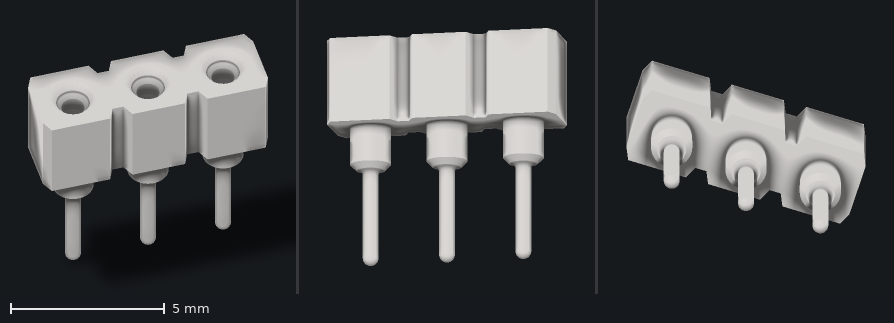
import cadquery as cq

contact_count = 3
length = 7.62
pitch = length / contact_count
width = pitch
housing_height = 2.79
neck_width = 1.72
neck_length = 0.38
bevel_length = 0.19

total_height = 7.37
shoulder_radius = 0.67
shoulder_length = 1.21
shoulder_bevel_height = 0.2
tail_radius = 0.26
tail_fillet = 0.16

mouth_radius = 0.78
bore_radius = 0.55
bore_depth = 0.31
contact_rim_radius = 0.49
contact_radius = 0.38
contact_lead_depth = 0.45
contact_depth = 0.915
contact_tip_radius = 0.11
contact_tip_depth = 2.44
socket_depth = contact_tip_depth + contact_tip_radius


def make_notch(side, y):
    """Full-height trapezoid that narrows the housing to its neck width on one side."""
    outer_x = side * width / 2
    neck_x = side * neck_width / 2
    neck_half = neck_length / 2
    outline = [
        (outer_x, y - neck_half - bevel_length),
        (neck_x, y - neck_half),
        (neck_x, y + neck_half),
        (outer_x, y + neck_half + bevel_length),
    ]
    return cq.Workplane("XY").polyline(outline).close().extrude(-housing_height)


def make_housing():
    """Block notched on both sides between contacts, with matching bevels on its end corners."""
    block = cq.Workplane("XY").rect(width, length).extrude(-housing_height)
    end_notch_y = (length + neck_length) / 2
    between_contacts = [index * pitch - length / 2 for index in range(1, contact_count)]
    for y in [-end_notch_y, *between_contacts, end_notch_y]:
        for side in (-1, 1):
            block = block.cut(make_notch(side, y))
    return block


def revolve_about_z(profile):
    """Close a half profile on the axis and spin it around Z."""
    return profile.close().revolve(360, (0, 0, 0), (0, 1, 0))


def make_pin():
    """Shoulder, bevel, concave fillet and tail with a hemispherical end."""
    bevel_top = -housing_height - shoulder_length
    bevel_bottom = bevel_top - shoulder_bevel_height
    return revolve_about_z(
        cq.Workplane("XZ")
        .moveTo(0, -housing_height)
        .lineTo(shoulder_radius, -housing_height)
        .lineTo(shoulder_radius, bevel_top)
        .lineTo(shoulder_radius - shoulder_bevel_height, bevel_bottom)
        .lineTo(tail_radius + tail_fillet, bevel_bottom)
        .radiusArc((tail_radius, bevel_bottom - tail_fillet), -tail_fillet)
        .lineTo(tail_radius, -total_height + tail_radius)
        .radiusArc((0, -total_height), tail_radius)
    )


def make_socket():
    """Hollow of one socket: 45 degree mouth, bore, contact rim, lead-in, barrel and tapered tip."""
    return revolve_about_z(
        cq.Workplane("XZ")
        .lineTo(mouth_radius, 0)
        .lineTo(bore_radius, -(mouth_radius - bore_radius))
        .lineTo(bore_radius, -bore_depth)
        .lineTo(contact_rim_radius, -bore_depth)
        .lineTo(contact_radius, -contact_lead_depth)
        .lineTo(contact_radius, -contact_depth)
        .lineTo(contact_tip_radius, -contact_tip_depth)
        .lineTo(0, -socket_depth)
    )


result = make_housing()
for index in range(contact_count):
    contact_y = (index - (contact_count - 1) / 2) * pitch
    result = result.union(make_pin().translate((0, contact_y, 0)))
    result = result.cut(make_socket().translate((0, contact_y, 0)))